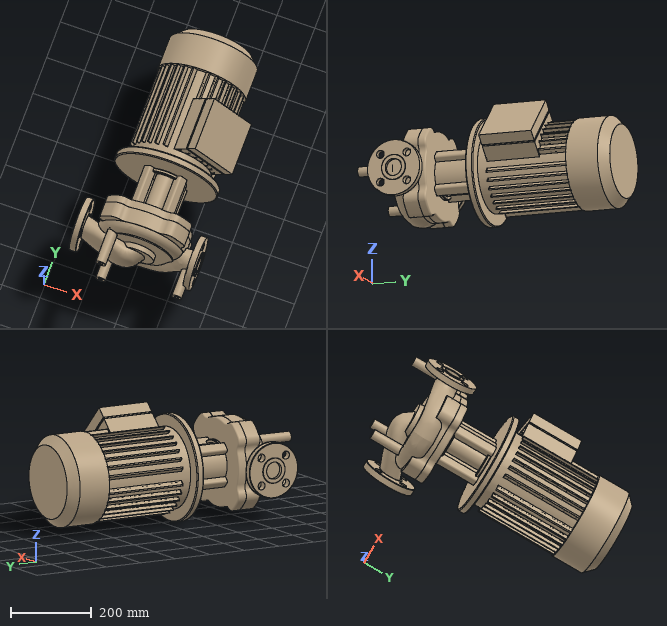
import cadquery as cq
import math


FOOT_END = -100.5
FOOT_START = -6.5
BOSS_FRONT = -31.0
COVER_DISC_FRONT = -16.5
VOLUTE_FRONT = -13.0
LOBE_FRONT = 9.0
CASING_SPLIT = 48.5
LANTERN_BASE = 70.0
MOTOR_FLANGE_FRONT = 185.0
MOTOR_FLANGE_BACK = 205.0
FIN_START = 231.0
BOX_END = 371.0
FAN_COVER_START = 447.0
FAN_COVER_END = FOOT_END + 656

CORE_RADIUS = 103.5
FIN_TIP_RADIUS = 113.5
FIN_COUNT = 7
FIN_PITCH = 21.0
FIN_THICKNESS = 3.0
FAN_COVER_RADIUS = 117.0
FAN_COVER_CHAMFER = 23.5

BOX_HALF_WIDTH = 69.5
BOX_TOP = 156.0
BOX_LID_HEIGHT = 30.0
BOX_GROOVE_WIDTH = 4.0
BOX_GROOVE_DEPTH = 0.5

MOTOR_FLANGE_RADIUS = 136.5
MOTOR_FLANGE_CHAMFER = 2.5
TUBE_RADIUS = 55.0
TUBE_BORE_RADIUS = 50.0
SHAFT_RADIUS = 25.0
RIB_REACH = 69.5
RIB_WIDTH = 26.0
RIB_FILLET = 5.0
RIM_RADIUS = 58.5
RIM_LENGTH = 10.0
RIM_CHAMFER = 2.0
LANTERN_PLATE_FILLET = 4.5

LOBE_ROOT_RADIUS = 113.5
LOBE_TIP_RADIUS = 136.0
LOBE_FILLET = 21.0
LOBE_HALF_ANGLE = 7.7

VOLUTE_RADIUS = 111.5
VOLUTE_FILLET = 21.5
COVER_DISC_RADIUS = 91.0
BOSS_RADIUS = 46.0
VOLUTE_END_OUTER_RADIUS = 124.0
VOLUTE_START_SEMI = 22.0
VOLUTE_END_SEMI = 25.0
VOLUTE_END_AXIAL_SEMI = 33.0
VOLUTE_CENTRE_LEVEL = 10.0
SPIRAL_STEPS = 6

DISCHARGE_OVALS = [
    ((34.0, 8.5, -93.0), 20, 32.0, 24.0),
    ((65.0, 6.0, -73.5), 45, 31.5, 24.0),
    ((85.0, 4.0, -44.5), 57, 31.0, 25.5),
    ((102.0, 2.0, -19.0), 47, 31.0, 27.5),
]
DISCHARGE_END_RADIUS = 30.0

SUCTION_FACE = -165.0
SUCTION_FLANGE_THICKNESS = 19.0
DISCHARGE_FACE = 155.0
DISCHARGE_FLANGE_THICKNESS = 16.5
COLLAR_STANDOUT = 1.0
COLLAR_RADIUS = 32.0
COLLAR_CHAMFER = 0.5
PORT_RADIUS = 21.5
PORT_DEPTH = 9.0
PIPE_FLANGE_RADIUS = 70.0
SUCTION_FLANGE_CHAMFER = 1.0
BOLT_OFFSET = 35.5
BOLT_HOLE_RADIUS = 10.0

SUCTION_PIPE_TILT = -19.0
ELBOW_AXIS_X = -33.0
ELBOW_AXIS_Y = -10.5
ELBOW_BEND_RADIUS = 30.0
ELBOW_SEMI = 29.0
SUCTION_RUN_OVALS = [(SUCTION_FACE, 29.5), (-141.0, 34.0), (-111.5, 41.5), (-79, 45.0)]
ELBOW_OVALS = [(SUCTION_PIPE_TILT, 44.0), (10, 41.5), (40, 37.5), (70, 34.0), (90, 33.0)]

FOOT_END_RADIUS = 13.0
FOOT_ROOT_RADIUS = 14.0
FOOT_HOLE_RADIUS = 5.0
FOOT_HOLE_DEPTH = 10.0
DISCHARGE_FOOT_PLACE = (132.0, 0)
FOOT_PLACES = [(-69.0, 60.0), (-69.0, -60.0), DISCHARGE_FOOT_PLACE]


def section_at(level):
    """Work plane across the pump axis, with local axes X and Z; +Y is a negative extrusion."""
    return cq.Workplane("XZ", origin=(0, level, 0))


def disc(radius, start, end):
    return section_at(start).circle(radius).extrude(start - end)


def yz_disc(radius, start, length):
    return cq.Workplane("YZ", origin=(start, 0, 0)).circle(radius).extrude(length)


def turned_about_y(shape, angle):
    return shape.rotate((0, 0, 0), (0, 1, 0), angle)


def polar(radius, angle):
    return (radius * math.cos(math.radians(angle)), radius * math.sin(math.radians(angle)))


def toward(start, end, distance):
    """Point at a distance from start on the way to end."""
    span = math.dist(start, end)
    return tuple(a + (b - a) * distance / span for a, b in zip(start, end))


def in_xz(angle):
    """Direction in the XZ plane, at an angle from +X toward +Z."""
    x, z = polar(1, angle)
    return (x, 0, z)


def oval_pipe(stations, across):
    """Smooth pipe through oval sections.

    A station is (centre, direction of the pipe, half size along `across`, other half size).
    """
    wires = []
    for centre, direction, across_semi, other_semi in stations:
        plane = cq.Plane(origin=centre, xDir=across, normal=direction)
        oval = cq.Workplane(plane).ellipse(across_semi, other_semi)
        wires.append(oval.val())
    return cq.Workplane(cq.Solid.makeLoft(wires))


def make_fan_cover():
    cover = disc(FAN_COVER_RADIUS, FAN_COVER_START, FAN_COVER_END)
    return cover.faces(">Y").chamfer(FAN_COVER_CHAMFER)


def make_motor():
    """Plain core with four sets of parallel fins, each set pointing along one diagonal."""
    motor = disc(CORE_RADIUS, MOTOR_FLANGE_BACK, FAN_COVER_START)
    fin_length = FAN_COVER_START - FIN_START
    fin_places = [((i - (FIN_COUNT - 1) / 2) * FIN_PITCH, 0) for i in range(FIN_COUNT)]
    plates = (
        section_at(FIN_START)
        .pushPoints(fin_places)
        .rect(FIN_THICKNESS, 2 * FIN_TIP_RADIUS)
        .extrude(-fin_length)
        .intersect(disc(FIN_TIP_RADIUS, FIN_START, FAN_COVER_START))
    )
    for angle in (45, 135):
        motor = motor.union(turned_about_y(plates, angle))
    return motor


def make_terminal_box(motor):
    """Box seated between the fins, with a shallow groove below its lid."""
    width = 2 * BOX_HALF_WIDTH
    length = BOX_END - FIN_START
    bottom = math.sqrt(CORE_RADIUS**2 - BOX_HALF_WIDTH**2)
    mid_level = (FIN_START + BOX_END) / 2
    box = cq.Workplane("XY", origin=(0, mid_level, bottom)).rect(width, length)
    box = box.extrude(BOX_TOP - bottom)
    groove = (
        cq.Workplane("XY", origin=(0, mid_level, BOX_TOP - BOX_LID_HEIGHT))
        .rect(width, length)
        .rect(width - 2 * BOX_GROOVE_DEPTH, length - 2 * BOX_GROOVE_DEPTH)
        .extrude(-BOX_GROOVE_WIDTH)
    )
    return turned_about_y(box.cut(groove), 45).cut(motor)


def short_arc_middle(centre, radius, start, end):
    chord_middle = tuple((a + b) / 2 for a, b in zip(start, end))
    return toward(centre, chord_middle, radius)


def lobed_plate(start, end):
    """Round plate with four lobes on the diagonals; tip and root rounds meet in a smooth S."""
    tip_centre_radius = LOBE_TIP_RADIUS - LOBE_FILLET
    root_centre_radius = LOBE_ROOT_RADIUS + LOBE_FILLET
    angle_between_centres = math.degrees(math.acos(
        (tip_centre_radius**2 + root_centre_radius**2 - (2 * LOBE_FILLET) ** 2)
        / (2 * tip_centre_radius * root_centre_radius)
    ))
    tip_angle = LOBE_HALF_ANGLE
    root_angle = tip_angle + angle_between_centres

    outline = section_at(start).moveTo(*polar(LOBE_ROOT_RADIUS, 45 - root_angle))
    for lobe in (45, 135, 225, 315):
        tip_before = polar(tip_centre_radius, lobe - tip_angle)
        tip_after = polar(tip_centre_radius, lobe + tip_angle)
        root_before = polar(root_centre_radius, lobe - root_angle)
        root_after = polar(root_centre_radius, lobe + root_angle)

        root_in = polar(LOBE_ROOT_RADIUS, lobe - root_angle)
        turn_in = toward(root_before, tip_before, LOBE_FILLET)
        tip_in = polar(LOBE_TIP_RADIUS, lobe - tip_angle)
        tip_out = polar(LOBE_TIP_RADIUS, lobe + tip_angle)
        turn_out = toward(root_after, tip_after, LOBE_FILLET)
        root_out = polar(LOBE_ROOT_RADIUS, lobe + root_angle)
        next_root_in = polar(LOBE_ROOT_RADIUS, lobe + 90 - root_angle)
        outline = (
            outline.threePointArc(short_arc_middle(root_before, LOBE_FILLET, root_in, turn_in), turn_in)
            .threePointArc(short_arc_middle(tip_before, LOBE_FILLET, turn_in, tip_in), tip_in)
            .threePointArc(polar(LOBE_TIP_RADIUS, lobe), tip_out)
            .threePointArc(short_arc_middle(tip_after, LOBE_FILLET, tip_out, turn_out), turn_out)
            .threePointArc(short_arc_middle(root_after, LOBE_FILLET, turn_out, root_out), root_out)
            .threePointArc(polar(LOBE_ROOT_RADIUS, lobe + 45), next_root_in)
        )
    return outline.close().extrude(start - end)


def make_lantern():
    """Motor flange, ribbed tube with two windows, shaft housing and lobed foot."""
    flange = disc(MOTOR_FLANGE_RADIUS, MOTOR_FLANGE_FRONT, MOTOR_FLANGE_BACK)
    flange = flange.faces("<Y or >Y").chamfer(MOTOR_FLANGE_CHAMFER)
    foot = lobed_plate(CASING_SPLIT, LANTERN_BASE).faces(">Y").edges().fillet(LANTERN_PLATE_FILLET)

    height = MOTOR_FLANGE_FRONT - LANTERN_BASE
    ribs = section_at(LANTERN_BASE).rect(RIB_WIDTH, 2 * RIB_REACH).extrude(-height)
    ribs = ribs.edges("|Y").fillet(RIB_FILLET)
    tube = disc(TUBE_RADIUS, LANTERN_BASE, MOTOR_FLANGE_FRONT)

    wedge_corner = RIB_WIDTH / math.sqrt(2)
    wedge_top = wedge_corner + RIB_REACH
    wedge = (
        section_at(LANTERN_BASE)
        .polyline([(0, wedge_corner), (RIB_REACH, wedge_top), (-RIB_REACH, wedge_top)])
        .close()
        .extrude(-height)
    )
    wedges = wedge.union(turned_about_y(wedge, 180))
    window_start = LANTERN_BASE + RIM_LENGTH
    window_end = MOTOR_FLANGE_FRONT - RIM_LENGTH
    windows = wedges.intersect(disc(RIM_RADIUS, window_start, window_end))
    rims = disc(RIM_RADIUS, LANTERN_BASE, window_start).edges().chamfer(RIM_CHAMFER)
    rims = rims.union(disc(RIM_RADIUS, window_end, MOTOR_FLANGE_FRONT).edges().chamfer(RIM_CHAMFER))

    body = tube.union(turned_about_y(ribs, 45)).union(turned_about_y(ribs, 135))
    body = body.union(wedges.intersect(rims)).cut(windows)
    body = body.cut(disc(TUBE_BORE_RADIUS, LANTERN_BASE, MOTOR_FLANGE_FRONT))
    shaft_housing = disc(SHAFT_RADIUS, LANTERN_BASE, MOTOR_FLANGE_FRONT)
    return foot.union(body).union(shaft_housing).union(flange)


def volute_spiral():
    """Oval channel that grows from the top, past -X, to the bottom of the casing."""
    stations = []
    for i in range(SPIRAL_STEPS + 1):
        share = i / SPIRAL_STEPS
        angle = 90 + 180 * share
        outer = VOLUTE_RADIUS + (VOLUTE_END_OUTER_RADIUS - VOLUTE_RADIUS) * share
        semi = VOLUTE_START_SEMI + (VOLUTE_END_SEMI - VOLUTE_START_SEMI) * share
        axial_semi = VOLUTE_START_SEMI + (VOLUTE_END_AXIAL_SEMI - VOLUTE_START_SEMI) * share
        x, z = polar(outer - semi, angle)
        stations.append(((x, VOLUTE_CENTRE_LEVEL, z), in_xz(angle + 90), axial_semi, semi))
    return oval_pipe(stations, (0, 1, 0))


def discharge_pipe():
    """S-shaped pipe from the end of the spiral to the discharge flange."""
    start_z = VOLUTE_END_SEMI - VOLUTE_END_OUTER_RADIUS
    end_x = DISCHARGE_FACE - COLLAR_STANDOUT - DISCHARGE_FLANGE_THICKNESS
    stations = [((0, VOLUTE_CENTRE_LEVEL, start_z), in_xz(0), VOLUTE_END_AXIAL_SEMI, VOLUTE_END_SEMI)]
    for centre, angle, axial_semi, cross_semi in DISCHARGE_OVALS:
        stations.append((centre, in_xz(angle), axial_semi, cross_semi))
    stations.append(((end_x, 0, 0), in_xz(0), DISCHARGE_END_RADIUS, DISCHARGE_END_RADIUS))
    return oval_pipe(stations, (0, 1, 0))


def bend_centre(angle):
    """Centre of the elbow's section where the pipe runs at the given angle from +X toward +Y."""
    out_x, out_y = polar(ELBOW_BEND_RADIUS, angle - 90)
    return (ELBOW_AXIS_X + out_x, ELBOW_AXIS_Y + out_y, 0)


def suction_pipe():
    """Tilted oval pipe from the suction flange and the elbow that turns it into the casing."""
    slope = math.tan(math.radians(SUCTION_PIPE_TILT))
    bend_x, bend_y, _ = bend_centre(SUCTION_PIPE_TILT)
    run_direction = (*polar(1, SUCTION_PIPE_TILT), 0)
    stations = []
    for x, width_semi in SUCTION_RUN_OVALS:
        centre = (x, bend_y + (x - bend_x) * slope, 0)
        stations.append((centre, run_direction, width_semi, ELBOW_SEMI))
    for angle, width_semi in ELBOW_OVALS:
        stations.append((bend_centre(angle), (*polar(1, angle), 0), width_semi, ELBOW_SEMI))

    pipe_start = SUCTION_FACE + COLLAR_STANDOUT + SUCTION_FLANGE_THICKNESS
    flange_room = yz_disc(PIPE_FLANGE_RADIUS, pipe_start, SUCTION_FACE)
    return oval_pipe(stations, (0, 0, 1)).cut(flange_room)


def collar(face, inward, length):
    stub = yz_disc(COLLAR_RADIUS, face, inward * length)
    outer_face = "<X" if inward > 0 else ">X"
    return stub.faces(outer_face).chamfer(COLLAR_CHAMFER)


def port(face, inward):
    return yz_disc(PORT_RADIUS, face, inward * PORT_DEPTH)


def make_casing():
    """Volute casing with its pipes and collars, recessed where the feet go in."""
    casing = lobed_plate(LOBE_FRONT, CASING_SPLIT)
    front = disc(VOLUTE_RADIUS, VOLUTE_FRONT, CASING_SPLIT).faces("<Y").edges().fillet(VOLUTE_FILLET)
    casing = casing.union(front)
    casing = casing.union(disc(COVER_DISC_RADIUS, COVER_DISC_FRONT, CASING_SPLIT))
    casing = casing.union(disc(BOSS_RADIUS, BOSS_FRONT, CASING_SPLIT))
    casing = casing.union(volute_spiral()).union(discharge_pipe()).union(suction_pipe())
    casing = casing.union(collar(SUCTION_FACE, 1, COLLAR_STANDOUT + SUCTION_FLANGE_THICKNESS))
    casing = casing.union(collar(DISCHARGE_FACE, -1, COLLAR_STANDOUT + DISCHARGE_FLANGE_THICKNESS))
    casing = casing.cut(port(SUCTION_FACE, 1)).cut(port(DISCHARGE_FACE, -1))
    for place in FOOT_PLACES:
        casing = casing.cut(foot_blank(place))
    return casing


def pipe_flange(start_x, thickness):
    """Loose flange with four bolt holes, bored to fit round the casing's collar."""
    offsets = (-BOLT_OFFSET, BOLT_OFFSET)
    bolt_places = [(y, z) for y in offsets for z in offsets]
    bolt_holes = (
        cq.Workplane("YZ", origin=(start_x, 0, 0))
        .pushPoints(bolt_places)
        .circle(BOLT_HOLE_RADIUS)
        .extrude(thickness)
    )
    blank = yz_disc(PIPE_FLANGE_RADIUS, start_x, thickness)
    return blank.cut(yz_disc(COLLAR_RADIUS, start_x, thickness)).cut(bolt_holes)


def make_suction_flange():
    flange = pipe_flange(SUCTION_FACE + COLLAR_STANDOUT, SUCTION_FLANGE_THICKNESS)
    rims = flange.edges(cq.selectors.RadiusNthSelector(-1))
    return rims.chamfer(SUCTION_FLANGE_CHAMFER)


def make_discharge_flange():
    """Flange with a notch where the foot below it passes."""
    start_x = DISCHARGE_FACE - COLLAR_STANDOUT - DISCHARGE_FLANGE_THICKNESS
    return pipe_flange(start_x, DISCHARGE_FLANGE_THICKNESS).cut(foot_blank(DISCHARGE_FOOT_PLACE))


def foot_blank(place):
    """Slightly tapered post, thinner at its free end."""
    x, z = place
    length = FOOT_START - FOOT_END
    tip = cq.Vector(x, FOOT_END, z)
    upward = cq.Vector(0, 1, 0)
    return cq.Workplane(cq.Solid.makeCone(FOOT_END_RADIUS, FOOT_ROOT_RADIUS, length, tip, upward))


def make_foot(place):
    hole = section_at(FOOT_END).center(*place).circle(FOOT_HOLE_RADIUS).extrude(-FOOT_HOLE_DEPTH)
    return foot_blank(place).cut(hole)


fan_cover = make_fan_cover()
motor = make_motor()
terminal_box = make_terminal_box(motor)
lantern = make_lantern()
casing = make_casing()
suction_flange = make_suction_flange()
discharge_flange = make_discharge_flange()
feet = [make_foot(place) for place in FOOT_PLACES]

result = cq.Compound.makeCompound([
    fan_cover.val(),
    motor.val(),
    terminal_box.val(),
    lantern.val(),
    casing.val(),
    suction_flange.val(),
    discharge_flange.val(),
    *[foot.val() for foot in feet],
])